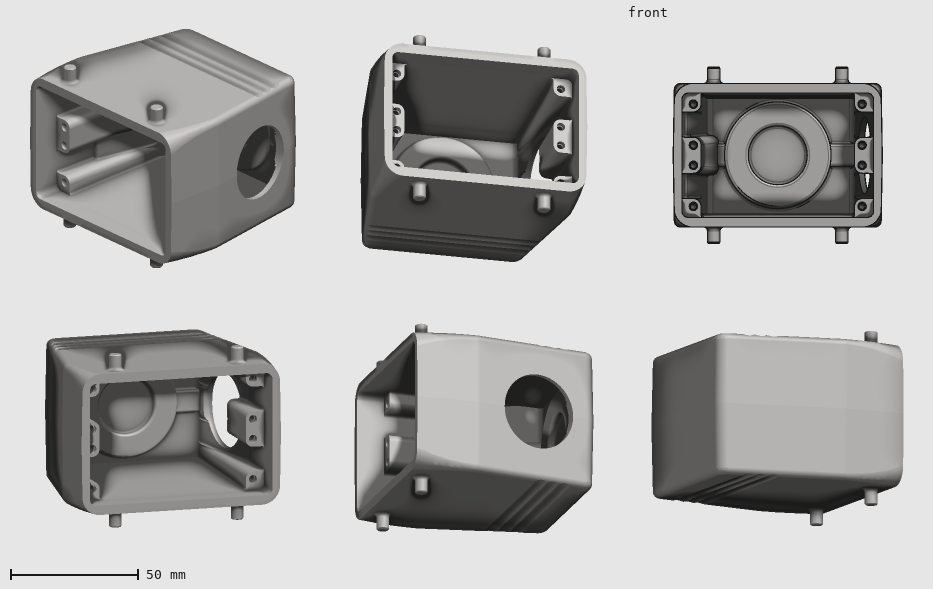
import cadquery as cq
import math


HALF_WIDTH = 41.0
HALF_HEIGHT = 28.1
DEPTH = 76.0
BEND_Y = 25.2
SIDE_SLOPE = 9.8
DRAFT = 1.0
BEND_RADIUS = 7.4
BACK_CORNER_RADIUS = 4.5
EDGE_RADIUS = 2.55
MOUTH_CORNER_RADIUS = 7.4
FLARE_SECTIONS = 5

GROOVE_RADIUS = 5.0
GROOVE_DEPTH = 0.65
GROOVE_YS = (53.3, 58.2, 63.1)

PIN_X = 25.1
PIN_Y = 6.6
PIN_DIAMETER = 5.0
PIN_SPAN = 69.0
PIN_TIP_CHAMFER = 0.4
PIN_FOOT_RADIUS = 1.5

MOUTH_HALF_WIDTH = 37.55
MOUTH_HALF_HEIGHT = 24.35
MOUTH_INNER_RADIUS = 2.55
LIP_Y = 7.8
TAPER_Y = 32.4
TAPER_HALF_HEIGHT = 23.7
FLOOR_HALF_HEIGHT = 23.0
ROOF_BEND_Y = 65.6
ROOF_FLOOR_Z = 22.1
FLOOR_Y = 72.9
FLOOR_RADIUS = 2.5
INNER_BEND_Y = 30.3
RIGHT_FLOOR_X = 30.25
LEDGE_X = 35.5
LEFT_FLOOR_X = 27.4
LEDGE_FOOT_RADIUS = 0.7
LEDGE_EDGE_RADIUS = 1.2

RAIL_Y = 11.0
RAIL_X = 30.1
RAIL_CORNER_RADIUS = 2.95
RAIL_ROOT_RADIUS = 1.0
CORNER_RAIL_Z = 17.0
MIDDLE_RAIL_Z = 7.05
SCREW_X = 33.05
SCREW_ZS = (-20.0, -3.9, 3.9, 20.0)
SCREW_DIAMETER = 3.3
SCREW_DEPTH = 2.5
SCREW_CORE_DIAMETER = 2.5
SCREW_CORE_DEPTH = 9.8

GUSSET_FLOOR_X = 23.2
GUSSET_RADIUS = 2.95
GUSSET_HALF_HEIGHT = 7.8

BOSS_RADIUS = 20.9
BOSS_HEIGHT = 3.0
BOSS_BORE_RADIUS = 11.6
BOSS_FILLET = 1.0
RIB_HALF_WIDTH = 4.4
RIB_HEIGHT = 2.1
RIB_FILLET = 1.0

ENTRY_RADIUS = 15.1
ENTRY_X = 34.0
ENTRY_LENGTH = 8.2

OVERSHOOT = 1.6
MARGIN = 0.2
REACH = 49.2


def prism_along_z(wire, half_height):
    return cq.Workplane(obj=wire).toPending().extrude(half_height, both=True)


def box(x0, x1, y0, y1, z0, z1):
    size = (x1 - x0, y1 - y0, z1 - z0)
    return cq.Workplane().box(*size, centered=False).translate((x0, y0, z0))


def centred_within(y0, y1):
    """Selector for edges centred between two depths, anywhere in X and Z."""
    return cq.selectors.BoxSelector((-REACH, y0, -REACH), (REACH, y1, REACH))


def flare_end():
    """Depth just in front of the rounded bend of the side walls."""
    return BEND_Y - BEND_RADIUS * math.tan(math.radians(SIDE_SLOPE / 2)) - MARGIN


def outer_half(sign):
    """Upper (sign 1) or lower (sign -1) half of the drafted outer body, before edge rounding."""
    back_half_width = HALF_WIDTH - (DEPTH - BEND_Y) * math.tan(math.radians(SIDE_SLOPE))
    half = (
        cq.Workplane()
        .polyline([
            (-HALF_WIDTH, -OVERSHOOT), (HALF_WIDTH, -OVERSHOOT), (HALF_WIDTH, BEND_Y),
            (back_half_width, DEPTH), (-back_half_width, DEPTH), (-HALF_WIDTH, BEND_Y),
        ])
        .close()
        .extrude(sign * HALF_HEIGHT, taper=DRAFT)
    )
    back_corners = centred_within(DEPTH - OVERSHOOT, DEPTH + OVERSHOOT)
    bends = centred_within(BEND_Y - OVERSHOOT, BEND_Y + OVERSHOOT)
    half = half.edges("not #Z").edges(back_corners).fillet(BACK_CORNER_RADIUS)
    return half.edges("not #Z").edges(bends).fillet(BEND_RADIUS)


def mouth_section(y):
    """Outer outline at depth y: drafted sides, with corners that grow rounder towards the mouth."""
    flare = MOUTH_CORNER_RADIUS - EDGE_RADIUS
    radius = EDGE_RADIUS + flare * (1 - y / flare_end()) ** 2
    top_half_width = HALF_WIDTH - HALF_HEIGHT * math.tan(math.radians(DRAFT))
    points = [
        (HALF_WIDTH, y, 0), (top_half_width, y, HALF_HEIGHT), (-top_half_width, y, HALF_HEIGHT),
        (-HALF_WIDTH, y, 0), (-top_half_width, y, -HALF_HEIGHT), (top_half_width, y, -HALF_HEIGHT),
    ]
    wire = cq.Wire.makePolygon([cq.Vector(*p) for p in points], close=True)
    corners = [v for v in wire.Vertices() if abs(v.Z) > HALF_HEIGHT / 2]
    return wire.fillet2D(radius, corners)


def outer_body():
    split = flare_end()
    behind_split = box(-REACH, REACH, split, DEPTH + OVERSHOOT, -REACH, REACH)
    step = split / (FLARE_SECTIONS - 1)
    sections = [mouth_section(i * step) for i in range(FLARE_SECTIONS)]
    body = cq.Workplane(obj=cq.Solid.makeLoft(sections))
    for sign, face in ((1, ">Z"), (-1, "<Z")):
        half = outer_half(sign).intersect(behind_split)
        rim = half.faces(face).edges(centred_within(split + MARGIN / 2, DEPTH))
        body = body.union(rim.fillet(EDGE_RADIUS))
    return body


def grooves():
    z = HALF_HEIGHT - GROOVE_DEPTH + GROOVE_RADIUS
    cutters = cq.Workplane()
    for y in GROOVE_YS:
        for side in (-1, 1):
            circle = cq.Workplane("YZ").center(y, side * z).circle(GROOVE_RADIUS)
            cutters = cutters.add(circle.extrude(HALF_WIDTH, both=True))
    return cutters.combine()


def pin():
    """Upper pin on the Z axis, with a hollow fillet where it meets the wall."""
    radius = PIN_DIAMETER / 2
    tip_z = PIN_SPAN / 2
    foot = radius + PIN_FOOT_RADIUS
    hollow = PIN_FOOT_RADIUS * (1 - math.sqrt(0.5))
    return (
        cq.Workplane("XZ")
        .moveTo(0, HALF_HEIGHT - OVERSHOOT)
        .lineTo(foot, HALF_HEIGHT - OVERSHOOT)
        .lineTo(foot, HALF_HEIGHT)
        .threePointArc((radius + hollow, HALF_HEIGHT + hollow), (radius, HALF_HEIGHT + PIN_FOOT_RADIUS))
        .lineTo(radius, tip_z - PIN_TIP_CHAMFER)
        .lineTo(radius - PIN_TIP_CHAMFER, tip_z)
        .lineTo(0, tip_z)
        .close()
        .revolve(360, (0, 0, 0), (0, 1, 0))
    )


def pins():
    upper = pin().translate((-PIN_X, PIN_Y, 0)).union(pin().translate((PIN_X, PIN_Y, 0)))
    return upper.union(upper.mirror("XY"))


def wall_outline():
    """Plan of the cavity behind the rail ends: right wall, floor, thicker left wall with its ledge."""
    points = [
        (-MOUTH_HALF_WIDTH, RAIL_Y), (MOUTH_HALF_WIDTH, RAIL_Y), (MOUTH_HALF_WIDTH, INNER_BEND_Y),
        (RIGHT_FLOOR_X, FLOOR_Y), (-LEFT_FLOOR_X, FLOOR_Y),
        (-LEDGE_X, INNER_BEND_Y), (-MOUTH_HALF_WIDTH, INNER_BEND_Y),
    ]
    wire = cq.Wire.makePolygon([cq.Vector(*p) for p in points], close=True)

    def rounded(outline, radius, x, y):
        corner = min(outline.Vertices(), key=lambda v: math.hypot(v.X - x, v.Y - y))
        return outline.fillet2D(radius, [corner])

    wire = rounded(wire, FLOOR_RADIUS, RIGHT_FLOOR_X, FLOOR_Y)
    wire = rounded(wire, FLOOR_RADIUS, -LEFT_FLOOR_X, FLOOR_Y)
    wire = rounded(wire, LEDGE_EDGE_RADIUS, -LEDGE_X, INNER_BEND_Y)
    return rounded(wire, LEDGE_FOOT_RADIUS, -MOUTH_HALF_WIDTH, INNER_BEND_Y)


def side_pockets(sign):
    """Spaces between a middle rail and the corner rails above (sign 1) or below it (sign -1)."""
    low, high = sorted((sign * MIDDLE_RAIL_Z, sign * CORNER_RAIL_Z))
    pocket = cq.Workplane(obj=wall_outline()).toPending().extrude(high - low).translate((0, 0, low))
    along_walls = centred_within(RAIL_Y + MARGIN, FLOOR_Y - MARGIN)
    return pocket.faces("|Z").edges(along_walls).fillet(RAIL_ROOT_RADIUS)


def rail_corner_sliver(x, z, toward_x, toward_z):
    """Material between a sharp rail corner at (x, z) and its rounding, along the whole rail."""
    dx = toward_x * RAIL_CORNER_RADIUS
    dz = toward_z * RAIL_CORNER_RADIUS
    bulge = 1 - math.sqrt(0.5)
    return (
        cq.Workplane("XZ", origin=(0, RAIL_Y, 0))
        .moveTo(x, z)
        .lineTo(x + dx, z)
        .threePointArc((x + dx * bulge, z + dz * bulge), (x, z + dz))
        .close()
        .extrude(RAIL_Y - FLOOR_Y)
    )


def rail_corner_relief():
    """Slivers that round the inner corners of the rails, kept inside the side walls."""
    relief = cq.Workplane()
    for side in (-1, 1):
        for half in (-1, 1):
            relief = relief.add(rail_corner_sliver(side * RAIL_X, half * CORNER_RAIL_Z, side, half))
            relief = relief.add(rail_corner_sliver(side * RAIL_X, half * MIDDLE_RAIL_Z, side, -half))
    return relief.combine().intersect(prism_along_z(wall_outline(), HALF_HEIGHT))


def middle_space():
    """Space between the left and right rails, narrowing towards the floor, with hollow long edges."""
    return (
        cq.Workplane("YZ")
        .polyline([
            (LIP_Y, MOUTH_HALF_HEIGHT), (TAPER_Y, TAPER_HALF_HEIGHT), (ROOF_BEND_Y, FLOOR_HALF_HEIGHT),
            (FLOOR_Y, ROOF_FLOOR_Z), (FLOOR_Y, -FLOOR_HALF_HEIGHT), (TAPER_Y, -TAPER_HALF_HEIGHT),
            (LIP_Y, -MOUTH_HALF_HEIGHT),
        ])
        .close()
        .extrude(RAIL_X, both=True)
        .edges("not (|X or |Z)")
        .fillet(RAIL_ROOT_RADIUS)
    )


def gusset():
    """Thick middle of the left wall, with hollow fillets where its flanks meet that wall."""
    slope = (LEDGE_X - LEFT_FLOOR_X) / (FLOOR_Y - INNER_BEND_Y)
    length = (RAIL_X - GUSSET_FLOOR_X) / slope
    front_y = FLOOR_Y - length

    def sloping_slab(floor_x, half_height):
        return (
            cq.Workplane()
            .polyline([
                (-HALF_WIDTH, front_y), (-floor_x - length * slope, front_y), (-floor_x, FLOOR_Y),
                (-HALF_WIDTH, FLOOR_Y),
            ])
            .close()
            .extrude(half_height, both=True)
        )

    def lengthwise_edges(solid, x_min, x_max):
        between_ends = cq.selectors.BoxSelector(
            (x_min, front_y + MARGIN, -GUSSET_HALF_HEIGHT), (x_max, FLOOR_Y - MARGIN, GUSSET_HALF_HEIGHT)
        )
        return solid.edges(between_ends)

    block = (
        cq.Workplane("XZ", origin=(-HALF_WIDTH, FLOOR_Y, 0))
        .rect(HALF_WIDTH, 2 * GUSSET_HALF_HEIGHT)
        .extrude(length, taper=DRAFT)
        .intersect(sloping_slab(GUSSET_FLOOR_X, HALF_HEIGHT))
    )
    block = lengthwise_edges(block, -RAIL_X, -GUSSET_FLOOR_X).fillet(GUSSET_RADIUS)
    wall = sloping_slab(LEFT_FLOOR_X, CORNER_RAIL_Z).union(block)
    return lengthwise_edges(wall, -LEDGE_X, -RAIL_X).fillet(RAIL_ROOT_RADIUS)


def floor_slab():
    return box(-HALF_WIDTH, HALF_WIDTH, FLOOR_Y, DEPTH, -HALF_HEIGHT, HALF_HEIGHT)


def floor_boss():
    """Floor with a raised ring around its centre."""
    ring = (
        cq.Workplane("XZ", origin=(0, FLOOR_Y, 0))
        .circle(BOSS_RADIUS)
        .circle(BOSS_BORE_RADIUS)
        .extrude(BOSS_HEIGHT)
    )
    return floor_slab().union(ring).edges("%CIRCLE").fillet(BOSS_FILLET)


def floor_ribs():
    """Floor with a rib across it, interrupted by the boss."""
    bar = box(-HALF_WIDTH, HALF_WIDTH, FLOOR_Y - RIB_HEIGHT, FLOOR_Y, -RIB_HALF_WIDTH, RIB_HALF_WIDTH)
    near_z = 2 * RIB_HALF_WIDTH
    near_bar = cq.selectors.BoxSelector((-REACH, 0, -near_z), (REACH, DEPTH, near_z))
    strip = floor_slab().union(bar).edges("|X").edges(near_bar).fillet(RIB_FILLET)
    boss_disc = cq.Workplane("XZ", origin=(0, FLOOR_Y, 0)).circle(BOSS_RADIUS).extrude(2 * RIB_HEIGHT)
    return strip.cut(boss_disc)


def mouth_space():
    """Space in front of the rails, leaving out what the space between the rails takes over."""
    full = box(
        -MOUTH_HALF_WIDTH, MOUTH_HALF_WIDTH, -OVERSHOOT, RAIL_Y, -MOUTH_HALF_HEIGHT, MOUTH_HALF_HEIGHT
    ).edges("|Y").fillet(MOUTH_INNER_RADIUS)
    inner_x = RAIL_X - RAIL_ROOT_RADIUS
    return full.cut(box(-inner_x, inner_x, LIP_Y, RAIL_Y, -HALF_HEIGHT, HALF_HEIGHT))


def cavity():
    front = box(-HALF_WIDTH, HALF_WIDTH, 0, RAIL_Y, -HALF_HEIGHT, HALF_HEIGHT)
    room = front.union(prism_along_z(wall_outline(), HALF_HEIGHT))
    space = mouth_space().union(middle_space().intersect(room))
    space = space.union(side_pockets(1)).union(side_pockets(-1)).union(rail_corner_relief())
    return space.cut(gusset()).cut(floor_boss()).cut(floor_ribs())


def screw_holes():
    radius = SCREW_DIAMETER / 2
    core = SCREW_CORE_DIAMETER / 2
    hole = (
        cq.Workplane()
        .polyline([
            (0, RAIL_Y), (radius, RAIL_Y), (radius, RAIL_Y + SCREW_DEPTH), (core, RAIL_Y + SCREW_DEPTH),
            (core, RAIL_Y + SCREW_CORE_DEPTH), (0, RAIL_Y + SCREW_CORE_DEPTH + core),
        ])
        .close()
        .revolve(360, (0, 0, 0), (0, 1, 0))
    )
    holes = cq.Workplane()
    for x in (-SCREW_X, SCREW_X):
        for z in SCREW_ZS:
            holes = holes.add(hole.translate((x, 0, z)))
    return holes.combine()


def cable_entry():
    run = (FLOOR_Y - INNER_BEND_Y) / (MOUTH_HALF_WIDTH - RIGHT_FLOOR_X)
    centre_y = INNER_BEND_Y + (MOUTH_HALF_WIDTH - ENTRY_X) * run
    angle = math.atan(1 / run)
    plane = cq.Plane((ENTRY_X, centre_y, 0), xDir=(0, 0, 1), normal=(math.cos(angle), math.sin(angle), 0))
    return cq.Workplane(plane).circle(ENTRY_RADIUS).extrude(ENTRY_LENGTH, both=True)


result = outer_body().cut(grooves()).union(pins()).cut(cavity()).cut(screw_holes()).cut(cable_entry())